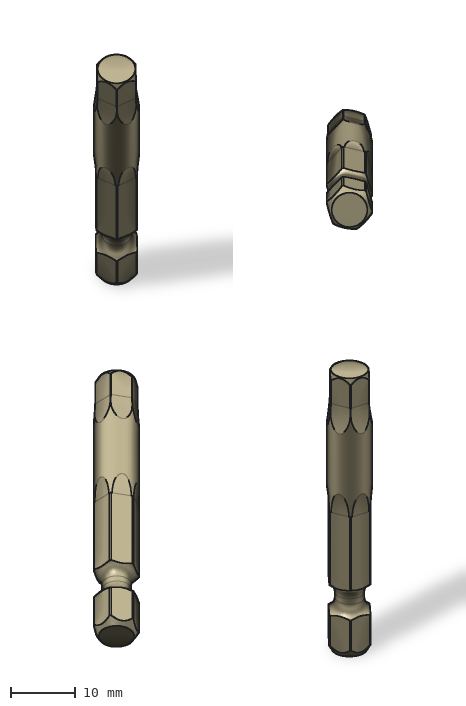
import cadquery as cq
import math

LENGTH = 49.0
BODY_RADIUS = 3.55
SHANK_CORNER_RADIUS = 7.2 / 2
TIP_CORNER_RADIUS = 6.8 / 2

TIP_CORNER_FADE = 2.45

SHANK_FLATS = 6.35
TIP_FLATS = 6.0
SIDES = 6
SHANK_TOP_Z = 25.05
TIP_BOTTOM_Z = 44.05
RUNOUT_RADIUS = 20.6

FOOT_RADIUS = 2.75
FOOT_CHAMFER_HEIGHT = 1.45
CROWN_RADIUS = 2.9
CROWN_CHAMFER_HEIGHT = 0.95

NECK_RADIUS = 2.3
NECK_BOTTOM_Z = 8.95
NECK_TOP_Z = 9.95
GROOVE_RADIUS = 2.4

CLEARANCE = 2.45


def arc_run(radius, rise):
    """Distance along the tangent line at which an arc has lifted off it by rise."""
    return math.sqrt(2 * radius * rise - rise**2)


def arc_rise(radius, run):
    """Height of an arc above its tangent line at distance run from the tangent point."""
    return radius - math.sqrt(radius**2 - run**2)


def turned_blank():
    """Round blank with conical ends and the concave retaining groove."""
    run = arc_run(GROOVE_RADIUS, SHANK_CORNER_RADIUS - NECK_RADIUS)
    middle_radius = NECK_RADIUS + arc_rise(GROOVE_RADIUS, run / 2)
    return (
        cq.Workplane("XZ")
        .moveTo(0, 0)
        .lineTo(FOOT_RADIUS, 0)
        .lineTo(SHANK_CORNER_RADIUS, FOOT_CHAMFER_HEIGHT)
        .lineTo(SHANK_CORNER_RADIUS, NECK_BOTTOM_Z - run)
        .threePointArc((middle_radius, NECK_BOTTOM_Z - run / 2), (NECK_RADIUS, NECK_BOTTOM_Z))
        .lineTo(NECK_RADIUS, NECK_TOP_Z)
        .threePointArc((middle_radius, NECK_TOP_Z + run / 2), (SHANK_CORNER_RADIUS, NECK_TOP_Z + run))
        .lineTo(SHANK_CORNER_RADIUS, SHANK_TOP_Z)
        .lineTo(BODY_RADIUS, SHANK_TOP_Z)
        .lineTo(BODY_RADIUS, TIP_BOTTOM_Z - TIP_CORNER_FADE)
        .lineTo(TIP_CORNER_RADIUS, TIP_BOTTOM_Z)
        .lineTo(TIP_CORNER_RADIUS, LENGTH - CROWN_CHAMFER_HEIGHT)
        .lineTo(CROWN_RADIUS, LENGTH)
        .lineTo(0, LENGTH)
        .close()
        .revolve(360, (0, 0), (0, 1))
    )


def flat_cutter(across_flats, end_z, flat_stop_z, direction):
    """Cutter for one flat that ends in an arc, tangent to the flat, rising out of the round body.

    The flat runs from end_z to flat_stop_z; direction (+1 or -1) is the way the run-out goes along Z.
    """
    flat_y = across_flats / 2
    outer_y = BODY_RADIUS + CLEARANCE
    run = arc_run(RUNOUT_RADIUS, outer_y - flat_y)
    middle_y = flat_y + arc_rise(RUNOUT_RADIUS, run / 2)
    start_z = end_z - direction * CLEARANCE
    return (
        cq.Workplane("YZ")
        .moveTo(flat_y, start_z)
        .lineTo(flat_y, flat_stop_z)
        .threePointArc(
            (middle_y, flat_stop_z + direction * run / 2),
            (outer_y, flat_stop_z + direction * run),
        )
        .lineTo(outer_y, start_z)
        .close()
        .extrude(BODY_RADIUS + CLEARANCE, both=True)
    )


def cut_hexagon(body, cutter):
    """Cut the same flat on all six sides, one of them facing +Y."""
    for side in range(SIDES):
        body = body.cut(cutter.rotate((0, 0, 0), (0, 0, 1), side * 360 / SIDES))
    return body


shank_cutter = flat_cutter(SHANK_FLATS, 0, SHANK_TOP_Z, 1)
tip_cutter = flat_cutter(TIP_FLATS, LENGTH, TIP_BOTTOM_Z, -1)

result = turned_blank()
result = cut_hexagon(result, shank_cutter)
result = cut_hexagon(result, tip_cutter)